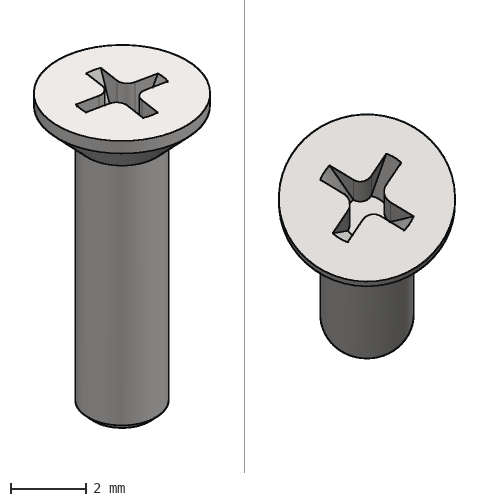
import cadquery as cq
import math

total_length = 10.0
head_diameter = 4.7
shank_diameter = 2.5
head_rim_height = 0.4
tip_chamfer = 0.25

recess_top_radius = 1.35
recess_floor_radius = 0.62
recess_half_angle = 23.5
arm_width = 0.47
inner_corner_radius = 0.35

head_radius = head_diameter / 2
shank_radius = shank_diameter / 2
countersink_height = head_radius - shank_radius
rim_bottom = total_length - head_rim_height
head_bottom = rim_bottom - countersink_height
recess_taper = recess_top_radius - recess_floor_radius
recess_depth = recess_taper / math.tan(math.radians(recess_half_angle))
recess_floor = total_length - recess_depth


def screw_body():
    """Revolved countersunk head, plain shank and chamfered tip."""
    half_profile = (
        cq.Workplane("XZ")
        .lineTo(shank_radius - tip_chamfer, 0)
        .lineTo(shank_radius, tip_chamfer)
        .lineTo(shank_radius, head_bottom)
        .lineTo(head_radius, rim_bottom)
        .lineTo(head_radius, total_length)
        .lineTo(0, total_length)
        .close()
    )
    return half_profile.revolve(360, (0, 0, 0), (0, 1, 0))


def cross_prism():
    """Upright cross with rounded inner corners, as deep as the recess."""
    arm_length = 2 * head_radius
    base = cq.Workplane("XY").workplane(offset=recess_floor)
    arm_along_x = base.rect(arm_length, arm_width).extrude(recess_depth)
    arm_along_y = base.rect(arm_width, arm_length).extrude(recess_depth)
    inner_corners = cq.selectors.BoxSelector(
        (-arm_width, -arm_width, recess_floor),
        (arm_width, arm_width, total_length),
    )
    cross = arm_along_x.union(arm_along_y)
    return cross.edges("|Z").edges(inner_corners).fillet(inner_corner_radius)


def recess_cone():
    """Tapered envelope that slopes the ends of the recess arms."""
    half_profile = (
        cq.Workplane("XZ")
        .moveTo(0, recess_floor)
        .lineTo(recess_floor_radius, recess_floor)
        .lineTo(recess_top_radius, total_length)
        .lineTo(0, total_length)
        .close()
    )
    return half_profile.revolve(360, (0, 0, 0), (0, 1, 0))


cross_recess = cross_prism().intersect(recess_cone())
result = screw_body().cut(cross_recess)